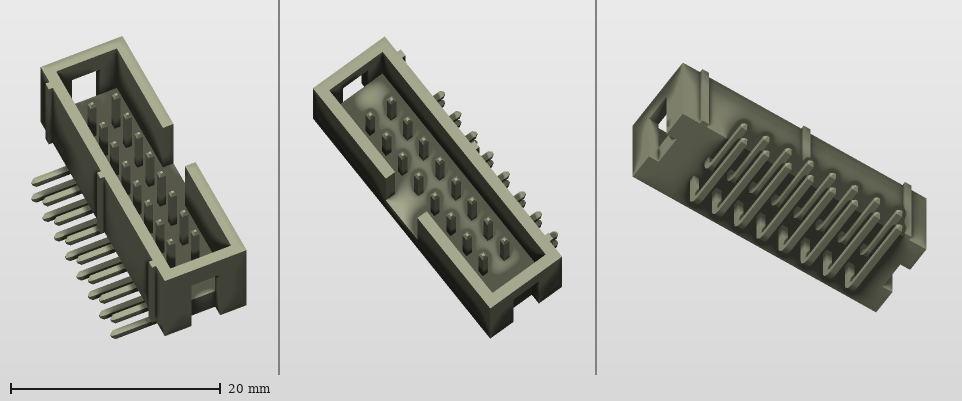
import cadquery as cq

body_length = 27.9
body_depth = 8.62
body_height = 8.93
wall = 1.12
floor_thickness = 2.55
key_notch_width = 4.97

slot_width = 3.05
slot_top_margin = 2.37

rib_count = 3
rib_width = 0.75
rib_depth = 0.42
rib_pitch = 11.6

pins_per_row = 8
pitch = 2.55
pin_size = 0.65
bend_radius = 1.0
tip_length = 0.33
tip_size = 0.25
pin_top_gap = 1.4
tail_reach = 3.3
front_tail_drop = 1.79

front_y = -body_depth / 2


def centred_places(count, spacing):
    return [(i - (count - 1) / 2) * spacing for i in range(count)]


def box_on_base(length, depth, height, centre, base_z):
    """Block standing on base_z, centred on an (x, y) place."""
    block = cq.Workplane("XY").box(length, depth, height, centered=(True, True, False))
    return block.translate((centre[0], centre[1], base_z))


def make_shroud():
    cavity_height = body_height - floor_thickness
    shroud = box_on_base(body_length, body_depth, body_height, (0, 0), 0)
    cavity = box_on_base(
        body_length - 2 * wall, body_depth - 2 * wall, cavity_height, (0, 0), floor_thickness
    )
    shroud = shroud.cut(cavity)

    notch_y = (body_depth - wall) / 2
    shroud = shroud.cut(
        box_on_base(key_notch_width, wall, cavity_height, (0, notch_y), floor_thickness)
    )

    slot_x = (body_length - wall) / 2
    for side in (-1, 1):
        slot = box_on_base(wall, slot_width, body_height - slot_top_margin, (side * slot_x, 0), 0)
        shroud = shroud.cut(slot)

    for rib_x in centred_places(rib_count, rib_pitch):
        rib = box_on_base(
            rib_width, rib_depth, body_height, (rib_x, front_y - rib_depth / 2), 0
        )
        shroud = shroud.union(rib)
    return shroud


def make_tip(base_plane):
    """Tapered pin end growing along the normal of base_plane."""
    return (
        cq.Workplane(base_plane)
        .rect(pin_size, pin_size)
        .workplane(offset=tip_length)
        .rect(tip_size, tip_size)
        .loft(ruled=True)
    )


def make_pin(row_y, tail_z):
    """Bent pin at X = 0, with its stem at row_y and its tail at height tail_z."""
    stem_end_z = body_height - pin_top_gap - tip_length
    tail_end_y = front_y - tail_reach + tip_length
    half = pin_size / 2
    outer_radius = bend_radius + half
    inner_radius = bend_radius - half
    bend_y = row_y - bend_radius
    bend_z = tail_z + bend_radius

    profile = (
        cq.Workplane("YZ")
        .moveTo(row_y + half, stem_end_z)
        .lineTo(row_y + half, bend_z)
        .radiusArc((bend_y, tail_z - half), outer_radius)
        .lineTo(tail_end_y, tail_z - half)
        .lineTo(tail_end_y, tail_z + half)
        .lineTo(bend_y, tail_z + half)
        .radiusArc((row_y - half, bend_z), -inner_radius)
        .lineTo(row_y - half, stem_end_z)
        .close()
    )
    bar = profile.extrude(half, both=True)
    stem_tip = make_tip(cq.Plane((0, row_y, stem_end_z), (1, 0, 0), (0, 0, 1)))
    tail_tip = make_tip(cq.Plane((0, tail_end_y, tail_z), (1, 0, 0), (0, -1, 0)))
    return bar.union(stem_tip).union(tail_tip)


front_pin = make_pin(-pitch / 2, -front_tail_drop)
rear_pin = make_pin(pitch / 2, -front_tail_drop - pitch)

result = make_shroud()
for pin_x in centred_places(pins_per_row, pitch):
    for pin in (front_pin, rear_pin):
        result = result.union(pin.translate((pin_x, 0, 0)))